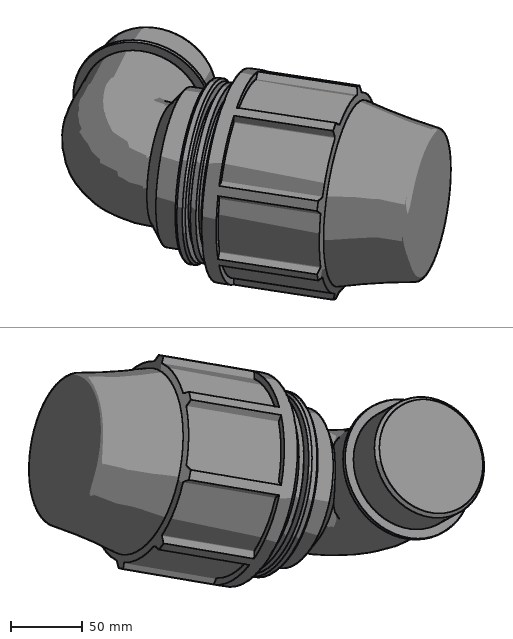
import cadquery as cq
import math

tube_radius = 88.0 / 2
bend_radius = 35.5

spigot_end = 110.0
spigot_chamfer = 2.5
collar_radius = 101.1 / 2
collar_start = 74.0
collar_thickness = 3.0

tube_end = 38.5
body_radius = 114.0 / 2
body_start = 49.0
stop_ring_radius = 132.2 / 2
stop_ring_start = 65.3
stop_ring_width = 7.3
stop_ring_chamfer = 1.7
thread_ring_radius = 128.3 / 2
thread_ring_width = 4.0
thread_ring_starts = (76.3, 84.2)

flange_radius = 152.0 / 2
flange_start = 88.1
flange_width = 10.5
grip_start = flange_start + flange_width
grip_radius = 71.2
grip_end = 174.0
cone_radius = 132.2 / 2
nose_radius = 109.5 / 2
nose_rounding = 4.0
nut_end = 282.5 - collar_radius
nose_start = nut_end - nose_rounding
cone_mid_x = (grip_end + nose_start) / 2
cone_sag = 0.8

rib_count = 8
rib_top_radius = 76.0
rib_root_radius = 67.8
rib_top_width = 7.0
rib_root_width = 14.7
rib_root_fillet = 1.0
rib_end = 171.0
tolerance = 0.03


def ring(start, width, radius):
    """Disc about the X axis."""
    return cq.Workplane("YZ", origin=(start, 0, 0)).circle(radius).extrude(width)


def make_bend():
    """Quarter bend, its section cut off at the bend axis because the bend is tighter than the tube."""
    half_chord = math.sqrt(tube_radius**2 - bend_radius**2)
    return (
        cq.Workplane("XZ", origin=(0, bend_radius, 0))
        .moveTo(bend_radius, -half_chord)
        .threePointArc((-tube_radius, 0), (bend_radius, half_chord))
        .close()
        .revolve(90, (bend_radius, 0), (bend_radius, 1))
    )


def make_spigot():
    tube = (
        cq.Workplane("XZ", origin=(0, bend_radius, 0))
        .circle(tube_radius)
        .extrude(bend_radius - spigot_end)
        .faces(">Y")
        .chamfer(spigot_chamfer)
    )
    collar = (
        cq.Workplane("XZ", origin=(0, collar_start, 0))
        .circle(collar_radius)
        .extrude(-collar_thickness)
    )
    return tube.union(collar)


def make_coupling():
    """Turned body and nut: half profile revolved about the X axis."""
    cone_mid_radius = (cone_radius + nose_radius) / 2 - cone_sag
    coupling = (
        cq.Workplane("XY")
        .moveTo(bend_radius, 0)
        .lineTo(bend_radius, tube_radius)
        .lineTo(tube_end, tube_radius)
        .lineTo(body_start, body_radius)
        .lineTo(flange_start, body_radius)
        .lineTo(flange_start, flange_radius)
        .lineTo(grip_start, flange_radius)
        .lineTo(grip_start, cone_radius)
        .lineTo(grip_end, cone_radius)
        .threePointArc((cone_mid_x, cone_mid_radius), (nose_start, nose_radius))
        .radiusArc((nut_end, nose_radius - nose_rounding), nose_rounding)
        .lineTo(nut_end, 0)
        .close()
        .revolve(360, (0, 0), (1, 0))
    )
    stop_ring = ring(stop_ring_start, stop_ring_width, stop_ring_radius)
    coupling = coupling.union(stop_ring.edges().chamfer(stop_ring_chamfer))
    for start in thread_ring_starts:
        coupling = coupling.union(ring(start, thread_ring_width, thread_ring_radius))
    return coupling


def make_rib(angle):
    """Tapered grip rib along the nut, turned about the X axis."""
    return (
        cq.Workplane("YZ", origin=(grip_start, 0, 0))
        .moveTo(rib_root_radius, -rib_root_width / 2)
        .lineTo(rib_top_radius, -rib_top_width / 2)
        .lineTo(rib_top_radius, rib_top_width / 2)
        .lineTo(rib_root_radius, rib_root_width / 2)
        .close()
        .extrude(grip_end - grip_start)
        .rotate((0, 0, 0), (1, 0, 0), angle)
    )


def is_beside_rib(edge, rib_pitch):
    """True when a lengthwise edge is nearer to a rib than to the middle of a gap."""
    center = edge.Center()
    angle = math.degrees(math.atan2(center.z, center.y)) % rib_pitch
    return abs(angle - rib_pitch / 2) < rib_pitch / 4


def make_grip():
    """Ribbed sleeve of the nut, its end sloping down from the rib tops to the cone."""
    grip = ring(grip_start, grip_end - grip_start, grip_radius)
    rib_pitch = 360 / rib_count
    for index in range(rib_count):
        grip = grip.union(make_rib((index + 0.5) * rib_pitch))
    sleeve_edges = grip.edges("|X").filter(
        lambda edge: math.hypot(edge.Center().y, edge.Center().z) < grip_radius + tolerance
    )
    root_edges = sleeve_edges.filter(lambda edge: is_beside_rib(edge, rib_pitch))
    grip = root_edges.fillet(rib_root_fillet)
    envelope = (
        cq.Workplane("XY")
        .moveTo(grip_start, 0)
        .lineTo(grip_start, flange_radius)
        .lineTo(rib_end, flange_radius)
        .lineTo(grip_end, cone_radius)
        .lineTo(grip_end, 0)
        .close()
        .revolve(360, (0, 0), (1, 0))
    )
    return grip.intersect(envelope)


result = make_coupling().union(make_grip()).union(make_bend()).union(make_spigot())